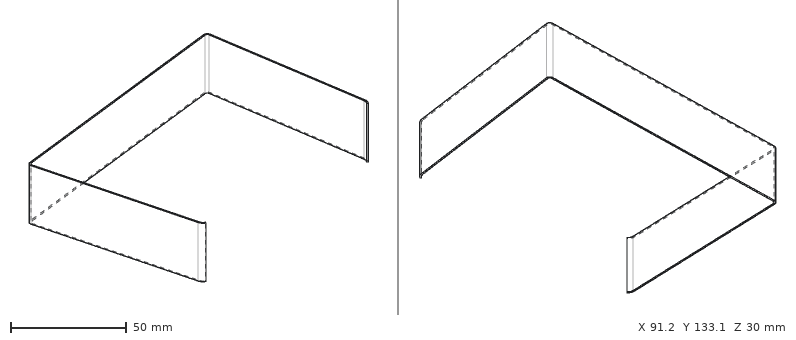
import cadquery as cq
import math

length = 91.2
width = 133.1
height = 30.0

thickness = 0.8
corner_radius = 2.0
lip_radius = 4.0
arm_lean = math.radians(3.0)
lip_reach = 3.0
lip_angle = math.asin(math.sin(arm_lean) + lip_reach / lip_radius)

back_normal = math.pi
arm_normal = math.pi / 2 - arm_lean
lip_normal = math.pi / 2 - lip_angle


def polar_point(center, radius, angle):
    """Point at a signed distance from the center, in a direction measured from X."""
    return center[0] + radius * math.cos(angle), center[1] + radius * math.sin(angle)


def add_bend(outline, center, radius, start, end):
    """Run a line to a bend and add its arc between two normal directions."""
    return outline.lineTo(*polar_point(center, radius, start)).threePointArc(
        polar_point(center, radius, (start + end) / 2),
        polar_point(center, radius, end),
    )


def half_profile():
    """Outline of the half with positive Y, with the back starting at X = 0."""
    corner_center = (corner_radius, width / 2 - corner_radius)
    arm_start = polar_point(corner_center, corner_radius, arm_normal)

    arm_end_x = length - lip_reach
    arm_end = (arm_end_x, arm_start[1] - (arm_end_x - arm_start[0]) * math.tan(arm_lean))
    lip_center = polar_point(arm_end, -lip_radius, arm_normal)

    outline = cq.Workplane("XY").moveTo(0, 0)
    outline = add_bend(outline, corner_center, corner_radius, back_normal, arm_normal)
    outline = add_bend(outline, lip_center, lip_radius, arm_normal, lip_normal)
    outline = add_bend(outline, lip_center, lip_radius - thickness, lip_normal, arm_normal)
    outline = add_bend(outline, corner_center, corner_radius - thickness, arm_normal, back_normal)
    return outline.lineTo(thickness, 0).close()


half = half_profile().extrude(height)
result = half.union(half.mirror("XZ")).clean()